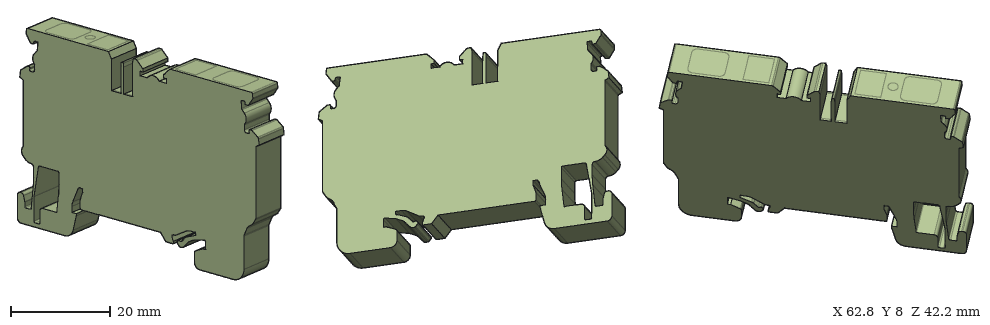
import cadquery as cq
import math


THICKNESS = 8.0
HEIGHT = 42.2
MIRROR_X = 31.7
WALL_REACH = 30.2
NOSE_REACH = 31.05
TOP_REACH = 29.3
OVERHANG_REACH = 29.4
LEFT_WALL = MIRROR_X - WALL_REACH
RIGHT_WALL = MIRROR_X + WALL_REACH
RAIL_Z = 6.6

OVERHANG_Z = 39.2
GROOVE_ROOF_Z = 39.9
GROOVE_FLOOR_Z = 33.2
NOSE_TOP_Z = 34.15
NOSE_BOTTOM_Z = 30.9
GROOVE_REACH = 26.35
GROOVE_BULGE_REACH = 28.25

FOOT_SHOULDER_Z = 13.4
STRIP_BEND_Z = 9.5
BEND_RADIUS = 20.7
STRIP_LEFT = 4.2
HOOK_WIDTH = 1.95
HOOK_OUTER_RADIUS = 0.75
HEEL_RADIUS = 1.0
TOE_RADIUS = 2.25
HOOK_GAP_FLOOR_Z = 3.6
LEFT_FOOT_RIGHT = 15.3
LEDGE_Z = 5.45
RAIL_SLOT_LEFT = 14.2
RAIL_SLOT_RIGHT = 16.9
RAIL_SLOT_ROOF_Z = 11.2
RAIL_SEAT_LEFT = 16.25

WINDOW_LEFT = 4.3
WINDOW_RIGHT = 10.8
WINDOW_STEP_X = 5.85
WINDOW_STEP_Z = 4.5
WINDOW_FLOOR_Z = 0.95

RAIL_SEAT_RIGHT = 37.15
STOP_Z = 4.9
STOP_RIGHT = 40.5
FINGER_TIP_Z = 4.65
FINGER_SLOT_ROOF_Z = 8.7
FINGER_SLOT_END = 46.25
RIGHT_FOOT_LEFT = 45.95
RIGHT_FOOT_RIGHT = 58.8
RIGHT_FOOT_Z = 0.95
RIGHT_TOE_RADIUS = 1.4
RIGHT_HEEL_RADIUS = 2.8
CATCH_END = 48.8
CATCH_Z = 5.65

SLOT_LEFT = 24.4
SLOT_RIGHT = 29.9
SLOT_FLOOR_Z = 34.0
SLOT_CHAMFER_X = 0.75
SLOT_CHAMFER_Z = 1.45
FIN_LEAD_X = 0.25
FIN_LEAD_Z = 0.9
BLADE_LEFT = 26.85
BLADE_RIGHT = 27.6
BLADE_TOP_Z = 40.7
BLADE_LEAD_X = 0.1
BLADE_LEAD_Z = 0.9
SLOT_INSERT_WIDTH = 7.0

POCKET_X = 35.25
POCKET_HALF = 3.4
POCKET_LIP_HALF = 2.7
POCKET_MOUTH_HALF = 4.3
POCKET_MOUTH_RADIUS = 0.5
POCKET_FLOOR_Z = 38.95
POCKET_LIP_Z = 39.9
POCKET_CHAMFER_Z = 40.65
POCKET_RIDGE_HALF = 1.6
POCKET_RIDGE_HEIGHT = 0.8

INSERT_DEPTH = 0.6
INSERT_WIDTH = 6.65
SCREW_INSERT_LENGTH = 7.6
SCREW_INSERT_REACH = 21.7
SCREW_INSERT_RADIUS = 1.1
WIRE_INSERT_LENGTH = 5.3
WIRE_INSERT_REACH = 11.4
TEST_POINT_X = 15.7
TEST_POINT_DIAMETER = 2.1


def rounded_profile(corners):
    """Extrude a closed outline over the full thickness, rounding its corners."""
    count = len(corners)
    stretches = []
    for i, (x, z, radius) in enumerate(corners):
        corner = cq.Vector(x, z)
        before = (cq.Vector(*corners[i - 1][:2]) - corner).normalized()
        after = (cq.Vector(*corners[(i + 1) % count][:2]) - corner).normalized()
        half_angle = before.getAngle(after) / 2
        if radius == 0:
            stretches.append([corner])
            continue
        setback = radius / math.tan(half_angle)
        bisector = (before + after).normalized()
        arc_middle = corner + bisector * (radius / math.sin(half_angle) - radius)
        stretches.append([corner + before * setback, arc_middle, corner + after * setback])

    sketch = cq.Workplane("XZ").moveTo(*stretches[0][-1].toTuple()[:2])
    for stretch in stretches[1:] + stretches[:1]:
        sketch = sketch.lineTo(*stretch[0].toTuple()[:2])
        if len(stretch) == 3:
            sketch = sketch.threePointArc(stretch[1].toTuple()[:2], stretch[2].toTuple()[:2])
    return sketch.wire().extrude(THICKNESS / 2, both=True)


def end_corners(side):
    """Upper end from the top face down to the wall; side is -1 for left, +1 for right."""
    reaches = [
        (TOP_REACH, HEIGHT, 0.3),
        (OVERHANG_REACH, 41.0, 0.25),
        (28.25, OVERHANG_Z, 0.25),
        (27.4, OVERHANG_Z, 0.1),
        (27.4, GROOVE_ROOF_Z, 0.3),
        (GROOVE_REACH, GROOVE_ROOF_Z, 0.25),
        (26.55, 38.0, 0.4),
        (GROOVE_BULGE_REACH, 36.3, 1.75),
        (27.25, 34.9, 0.2),
        (27.25, GROOVE_FLOOR_Z, 0.55),
        (28.55, GROOVE_FLOOR_Z, 0.3),
        (28.35, NOSE_TOP_Z, 0.25),
        (29.1, NOSE_TOP_Z, 0.3),
        (30.9, 32.9, 0.5),
        (NOSE_REACH, 31.3, 0),
        (WALL_REACH, NOSE_BOTTOM_Z, 0.2),
    ]
    return [(MIRROR_X + side * reach, z, radius) for reach, z, radius in reaches]


def left_foot_corners():
    return [
        (LEFT_WALL, 16.6, 0.3),
        (0.55, 15.5, 1.45),
        (2.65, FOOT_SHOULDER_Z, 2.2),
        (STRIP_LEFT, FOOT_SHOULDER_Z, 0.6),
        (STRIP_LEFT, STRIP_BEND_Z, BEND_RADIUS),
        (3.6, HOOK_GAP_FLOOR_Z, 0.4),
        (HOOK_WIDTH, HOOK_GAP_FLOOR_Z, 0.2),
        (HOOK_WIDTH, 4.85, 0.3),
        (1.5, RAIL_Z, 0.6),
        (0, RAIL_Z, HOOK_OUTER_RADIUS),
        (0, 0, HEEL_RADIUS),
        (14.05, 0, TOE_RADIUS),
        (LEFT_FOOT_RIGHT, 5.0, 0.1),
        (LEFT_FOOT_RIGHT, LEDGE_Z, 0),
        (RAIL_SLOT_LEFT, LEDGE_Z, 0),
        (RAIL_SLOT_LEFT, 7.3, 2.5),
        (15.9, RAIL_SLOT_ROOF_Z, 0.3),
        (RAIL_SLOT_RIGHT, RAIL_SLOT_ROOF_Z, 0.1),
        (RAIL_SLOT_RIGHT, 10.3, 0),
        (RAIL_SEAT_LEFT, 8.55, 0.25),
        (RAIL_SEAT_LEFT, RAIL_Z, 0.25),
    ]


def right_foot_corners():
    return [
        (RAIL_SEAT_RIGHT, RAIL_Z, 0),
        (38.5, STOP_Z, 0),
        (STOP_RIGHT, STOP_Z, 0.1),
        (STOP_RIGHT, 5.45, 0),
        (40.0, 6.8, 0.3),
        (41.1, 6.9, 0.6),
        (44.3, FINGER_SLOT_ROOF_Z, 2.5),
        (FINGER_SLOT_END, FINGER_SLOT_ROOF_Z, 0.25),
        (FINGER_SLOT_END, 8.1, 0.25),
        (43.6, 7.1, 1.25),
        (42.4, 5.85, 0.1),
        (41.9, 6.1, 0.2),
        (41.3, 5.5, 0.4),
        (42.05, FINGER_TIP_Z, 0.3),
        (42.9, FINGER_TIP_Z, 0.55),
        (44.5, 6.35, 0.95),
        (46.1, 7.1, 0),
        (CATCH_END, 7.65, 0.3),
        (CATCH_END, CATCH_Z, 0),
        (48.1, CATCH_Z, 0),
        (RIGHT_FOOT_LEFT, 4.65, 0.4),
        (RIGHT_FOOT_LEFT, RIGHT_FOOT_Z, RIGHT_TOE_RADIUS),
        (RIGHT_FOOT_RIGHT, RIGHT_FOOT_Z, RIGHT_HEEL_RADIUS),
        (RIGHT_FOOT_RIGHT, 11.05, 0.5),
        (59.75, 13.1, 1.25),
        (61.05, 14.0, 0.6),
        (RIGHT_WALL, 15.3, 0.3),
    ]


def window():
    return rounded_profile([
        (5.5, FOOT_SHOULDER_Z, 0.45),
        (WINDOW_RIGHT, FOOT_SHOULDER_Z, 0.3),
        (WINDOW_RIGHT, STRIP_BEND_Z, BEND_RADIUS),
        (10.2, WINDOW_STEP_Z, 0.05),
        (WINDOW_STEP_X, WINDOW_STEP_Z, 0.75),
        (WINDOW_STEP_X, WINDOW_FLOOR_Z, 0.3),
        (WINDOW_LEFT, WINDOW_FLOOR_Z, 0.3),
        (WINDOW_LEFT, 6.5, 0),
    ])


def blade_slot():
    return rounded_profile([
        (SLOT_LEFT - SLOT_CHAMFER_X, HEIGHT, 0),
        (SLOT_LEFT, HEIGHT - SLOT_CHAMFER_Z, 0),
        (SLOT_LEFT, SLOT_FLOOR_Z, 0),
        (BLADE_LEFT, SLOT_FLOOR_Z, 0),
        (BLADE_LEFT, BLADE_TOP_Z - BLADE_LEAD_Z, 0),
        (BLADE_LEFT + BLADE_LEAD_X, BLADE_TOP_Z, 0.1),
        (BLADE_RIGHT - BLADE_LEAD_X, BLADE_TOP_Z, 0.1),
        (BLADE_RIGHT, BLADE_TOP_Z - BLADE_LEAD_Z, 0),
        (BLADE_RIGHT, SLOT_FLOOR_Z, 0),
        (SLOT_RIGHT, SLOT_FLOOR_Z, 0),
        (SLOT_RIGHT, HEIGHT - FIN_LEAD_Z, 0),
        (SLOT_RIGHT + FIN_LEAD_X, HEIGHT, 0),
    ])


def jumper_pocket():
    ridge_left = (POCKET_X - POCKET_RIDGE_HALF, POCKET_FLOOR_Z)
    ridge_top = (POCKET_X, POCKET_FLOOR_Z + POCKET_RIDGE_HEIGHT)
    ridge_right = (POCKET_X + POCKET_RIDGE_HALF, POCKET_FLOOR_Z)
    return (
        cq.Workplane("XZ")
        .moveTo(POCKET_X - POCKET_MOUTH_HALF, HEIGHT)
        .lineTo(POCKET_X - POCKET_LIP_HALF, POCKET_CHAMFER_Z)
        .lineTo(POCKET_X - POCKET_LIP_HALF, POCKET_LIP_Z)
        .lineTo(POCKET_X - POCKET_HALF, POCKET_LIP_Z)
        .lineTo(POCKET_X - POCKET_HALF, POCKET_FLOOR_Z)
        .lineTo(*ridge_left)
        .threePointArc(ridge_top, ridge_right)
        .lineTo(POCKET_X + POCKET_HALF, POCKET_FLOOR_Z)
        .lineTo(POCKET_X + POCKET_HALF, POCKET_LIP_Z)
        .lineTo(POCKET_X + POCKET_LIP_HALF, POCKET_LIP_Z)
        .lineTo(POCKET_X + POCKET_LIP_HALF, POCKET_CHAMFER_Z)
        .lineTo(POCKET_X + POCKET_MOUTH_HALF, HEIGHT)
        .close()
        .extrude(THICKNESS / 2, both=True)
    )


def flush_block(x, length, width, top_z):
    """Block centred on x whose top is level with top_z."""
    block = cq.Workplane("XY").box(length, width, INSERT_DEPTH)
    return block.translate((x, 0, top_z - INSERT_DEPTH / 2))


def flush_inserts():
    inserts = []
    for side in (-1, 1):
        screw_x = MIRROR_X + side * SCREW_INSERT_REACH
        screw = flush_block(screw_x, SCREW_INSERT_LENGTH, INSERT_WIDTH, HEIGHT)
        inserts.append(screw.edges("|Z").fillet(SCREW_INSERT_RADIUS))
        wire_x = MIRROR_X + side * WIRE_INSERT_REACH
        inserts.append(flush_block(wire_x, WIRE_INSERT_LENGTH, INSERT_WIDTH, HEIGHT))
    for left, right in ((SLOT_LEFT, BLADE_LEFT), (BLADE_RIGHT, SLOT_RIGHT)):
        middle = (left + right) / 2
        inserts.append(flush_block(middle, right - left, SLOT_INSERT_WIDTH, SLOT_FLOOR_Z))
    test_point = cq.Workplane("XY").circle(TEST_POINT_DIAMETER / 2).extrude(INSERT_DEPTH)
    inserts.append(test_point.translate((TEST_POINT_X, 0, HEIGHT - INSERT_DEPTH)))
    return inserts


outline = end_corners(-1) + left_foot_corners() + right_foot_corners() + end_corners(1)[::-1]
result = rounded_profile(outline).cut(window()).cut(blade_slot()).cut(jumper_pocket())
for side in (-1, 1):
    mouth_edge = cq.selectors.NearestToPointSelector((POCKET_X + side * POCKET_MOUTH_HALF, 0, HEIGHT))
    result = result.edges(mouth_edge).fillet(POCKET_MOUTH_RADIUS)
for insert in flush_inserts():
    result = result.union(insert, clean=False)